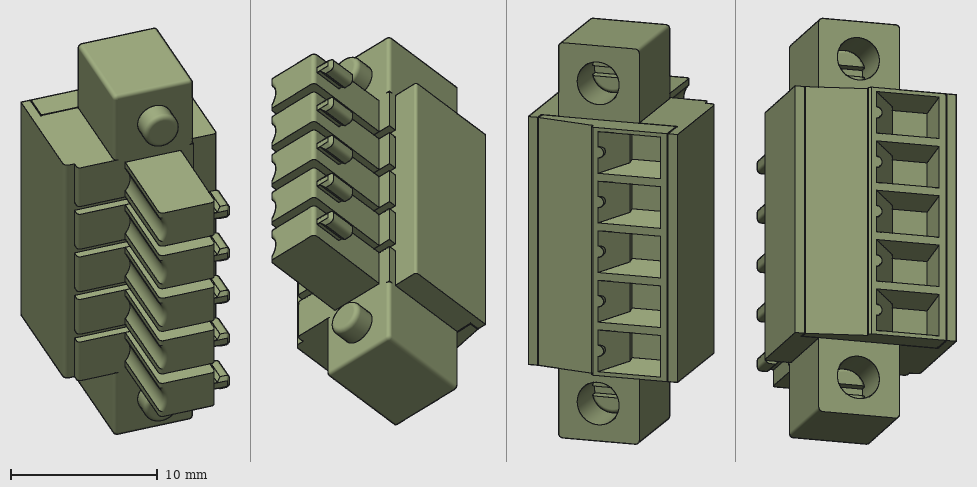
import cadquery as cq
import math


pole_count = 5
pitch = 3.5
body_half = pole_count * pitch / 2
pole_heights = [(i - (pole_count - 1) / 2) * pitch for i in range(pole_count)]

body_width = 11.1
body_depth = 8.3
lip_front = 1.25
lip_edge = 0.67
body_round = 0.2
body_front_round = 0.35
step_depth = 8.9
step_bottom = 0.73
step_round = 0.25

panel_back = 1.95
panel_ledge = 6.2
panel_ledge_depth = 0.45
panel_ledge_chamfer = 0.15
panel_gap = 0.07
panel_gap_depth = 0.3

funnel_low = 1.22
funnel_high = 5.7
funnel_low_end = 1.36
funnel_half_height = 1.47
funnel_end_half_height = 0.93
funnel_depth = 2.3
ramp_end = 4.0
ramp_depth = 1.8
rib_radius = 0.4

flange_half = 27.9 / 2
flange_front = panel_back + panel_gap
flange_low = 3.4
flange_high = 9.18
flange_round = 0.3
flange_end_round = 0.27
screw_y = 6.35
screw_z = 11.3
head_diameter = 3.0
head_front = 5.0
head_round = 0.3
slot_width = 0.7
slot_depth = 0.8
shank_diameter = 2.5
shank_end = 10.4
shank_round = 0.35

finger_end = 15.5
finger_low = 4.2
finger_high = 8.25
finger_base_height = 2.86
finger_tip_height = 2.72
finger_round = 0.3
groove_diameter = 2.8
groove_width = 1.84

tab_start = 13.0
tab_end = 15.2
tab_top = 9.5
tab_head_bottom = 8.8
tab_neck_top = 8.5
tab_neck_half = 0.25
tab_head_half = 0.5
tab_round = 0.3
tab_end_chamfer = 0.27


def box(x0, x1, y0, y1, z0, z1):
    return cq.Workplane("XY").box(x1 - x0, y1 - y0, z1 - z0, centered=False).translate((x0, y0, z0))


def prism(points, half_height):
    """Extrude an XY outline symmetrically about Z = 0."""
    return cq.Workplane("XY").polyline(points).close().extrude(half_height, both=True)


def rod(x0, x1, y, z, radius):
    return cq.Workplane("YZ", origin=(x0, y, z)).circle(radius).extrude(x1 - x0)


def make_housing():
    outline = [
        (0, 0),
        (body_depth, 0),
        (body_depth, body_width),
        (lip_front, body_width),
        (lip_front, body_width - lip_edge),
        (panel_ledge_depth, panel_ledge),
        (panel_ledge_chamfer, panel_ledge),
        (0, panel_ledge - panel_ledge_chamfer),
    ]
    housing = prism(outline, body_half)
    housing = housing.faces(">X").edges("|Z").edges("<Y").fillet(body_front_round)
    housing = housing.faces(">X").edges("|Z").edges(">Y").fillet(body_round)
    step = box(flange_front, step_depth, step_bottom, flange_high, -body_half, body_half)
    step = step.edges("|Z and >X").edges("<Y").fillet(step_round)
    return housing.union(step)


def cut_finger_gaps(housing):
    """Divide the raised step between neighbouring fingers."""
    half_gap = (pitch - finger_base_height) / 2
    for low, high in zip(pole_heights, pole_heights[1:]):
        middle = (low + high) / 2
        gap = box(body_depth, step_depth, 0, body_width, middle - half_gap, middle + half_gap)
        housing = housing.cut(gap)
    return housing


def make_panel_gap():
    """Narrow joint around the wire-entry panel: open on the wire side, shallow behind the panel."""
    low = lip_edge
    high = body_width - lip_edge
    lower = box(0, panel_gap_depth, low, low + panel_gap, -body_half, body_half)
    upper = box(lip_front, lip_front + panel_gap_depth, high - panel_gap, high, -body_half, body_half)
    joint = lower.union(upper)
    for z0, z1 in ((-body_half, panel_gap_depth - body_half), (body_half - panel_gap_depth, body_half)):
        joint = joint.union(box(panel_back, panel_back + panel_gap, low, high, z0, z1))
        joint = joint.union(box(0, panel_back, low, low + panel_gap, z0, z1))
        joint = joint.union(box(lip_front, panel_back, high - panel_gap, high, z0, z1))
    return joint


def make_funnel(z):
    """Tapered wire entry with a ramp on its +Y side and a half-round rib on the ramp."""
    width = funnel_high - funnel_low
    end_width = funnel_high - funnel_low_end
    funnel = (
        cq.Workplane("YZ", origin=(0, (funnel_low + funnel_high) / 2, 0))
        .rect(width, 2 * funnel_half_height)
        .workplane(offset=funnel_depth)
        .center((funnel_low_end - funnel_low) / 2, 0)
        .rect(end_width, 2 * funnel_end_half_height)
        .loft(ruled=True)
    )
    ramp = [
        (0, funnel_low),
        (funnel_depth, funnel_low),
        (funnel_depth, ramp_end),
        (ramp_depth, ramp_end),
        (0, funnel_high),
    ]
    funnel = funnel.intersect(prism(ramp, funnel_half_height))
    funnel = funnel.cut(rod(0, funnel_depth, funnel_high, 0, rib_radius))
    return funnel.translate((0, 0, z))


def make_flange():
    """Upper flange with its slotted captive screw."""
    flange = box(flange_front, step_depth, flange_low, flange_high, body_half, flange_half)
    flange = flange.faces(">Z").edges("|X").fillet(flange_round)
    flange = flange.faces(">X").edges("not <Z").fillet(flange_end_round)
    flange = flange.cut(rod(flange_front, step_depth, screw_y, screw_z, head_diameter / 2))
    head = rod(head_front, step_depth, screw_y, screw_z, head_diameter / 2)
    head = head.faces("<X").edges().fillet(head_round)
    slot = box(
        head_front,
        head_front + slot_depth,
        flange_low,
        flange_high,
        screw_z - slot_width / 2,
        screw_z + slot_width / 2,
    )
    shank = rod(head_front + slot_depth, shank_end, screw_y, screw_z, shank_diameter / 2)
    shank = shank.faces(">X").edges().fillet(shank_round)
    return flange.union(head.cut(slot)).union(shank)


def make_tab():
    """Coding tab: a neck flaring into a head with a rounded top."""
    half_section = [
        (finger_high, tab_neck_half),
        (tab_neck_top, tab_neck_half),
        (tab_head_bottom, tab_head_half),
        (tab_top, tab_head_half),
    ]
    section = half_section + [(y, -z) for y, z in reversed(half_section)]
    tab = cq.Workplane("YZ", origin=(tab_start, 0, 0)).polyline(section).close().extrude(tab_end - tab_start)
    tab = tab.faces(">Y").edges("|X").fillet(tab_round)
    return tab.faces(">X").edges(">Y").chamfer(tab_end_chamfer)


def make_finger():
    """Tapered plug finger with a shallow round groove along its -Y side."""
    root = body_depth
    outline = [
        (root, -finger_base_height / 2),
        (finger_end, -finger_tip_height / 2),
        (finger_end, finger_tip_height / 2),
        (root, finger_base_height / 2),
    ]
    finger = cq.Workplane("XZ", origin=(0, finger_high, 0)).polyline(outline).close()
    finger = finger.extrude(finger_high - finger_low)
    radius = groove_diameter / 2
    axis_offset = math.sqrt(radius**2 - (groove_width / 2) ** 2)
    finger = finger.cut(rod(step_depth, finger_end, finger_low - axis_offset, 0, radius))
    finger = finger.faces(">X").edges(">Y").fillet(finger_round)
    finger = finger.faces(">X").edges("not (|Y or >Y)").fillet(finger_round)
    return finger.union(make_tab())


result = cut_finger_gaps(make_housing())
result = result.cut(make_panel_gap())
finger = make_finger()
for height in pole_heights:
    result = result.cut(make_funnel(height))
    result = result.union(finger.translate((0, 0, height)))
flange = make_flange()
result = result.union(flange).union(flange.mirror("XY"))